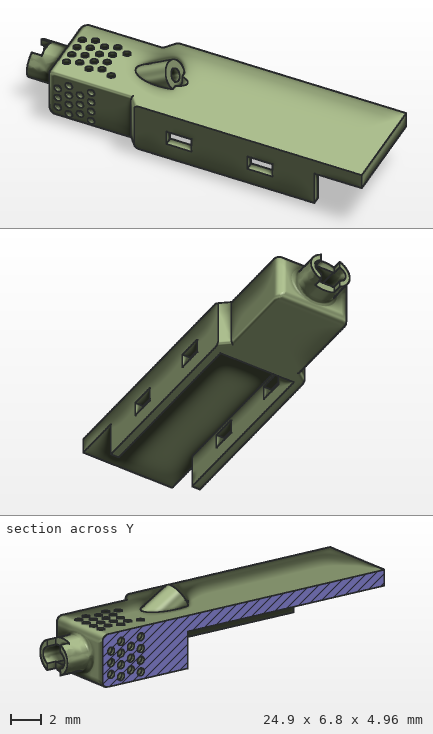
import cadquery as cq
import math

TOTAL_LENGTH = 24.9
BODY_WIDTH = 6.8
BODY_HEIGHT = 3.64
HEAD_WIDTH = 5.45
HEAD_FRONT_X = 1.98
SHOULDER_LENGTH = 0.55
LEFT_SHOULDER_X = 7.78
RIGHT_SHOULDER_X = 8.05
FRONT_RADIUS = 0.6
EDGE_RADIUS = 0.28

TOP_PLATE_THICKNESS = 1.12
SIDE_WALL = 0.6
POCKET_START_X = 9.0
REAR_WALLS_END_X = 21.5
WINDOW_LENGTH = 1.8
WINDOW_HEIGHT = 1.05
WINDOW_SILL_Z = 1.17
WINDOW_START_XS = (10.9, 16.7)

NOSE_Z = 1.87
NOSE_HALF_WIDTH = 1.485
NOSE_HALF_HEIGHT = 1.185
NOSE_FILLET = 0.25
NOTCH_WIDTH = 1.42
NOTCH_DEPTH = 0.7
PASSAGE_HALF_WIDTH = 1.17
PASSAGE_HALF_HEIGHT = 0.73
PASSAGE_FLAT_HEIGHT = 1.21

DIMPLE_DIAMETER = 0.5
DIMPLE_DEPTH = 0.5
DIMPLE_PITCH = 0.8
DIMPLE_STAGGER = 0.3
DIMPLE_FIRST_X = 2.8
TOP_DIMPLE_Y = -1.36
SIDE_DIMPLE_Z = 0.52

TUBE_ANGLE = 30
TUBE_DIAMETER = 2.06
TUBE_BORE_DIAMETER = 0.9
TUBE_LENGTH = 4.0
TUBE_TIP_X = 9.44
TUBE_TIP_Z = 4.96
RELIEF_DIAMETER = 1.1
RELIEF_DROP = 0.25
RELIEF_LENGTH = 2.0


def box(x_start, x_end, width, z_start, z_end):
    """Box centred on Y = 0."""
    return cq.Workplane("XY").box(
        x_end - x_start, width, z_end - z_start, centered=(False, True, False)
    ).translate((x_start, 0, z_start))


def make_body():
    half_head = HEAD_WIDTH / 2
    half_body = BODY_WIDTH / 2
    outline = [
        (HEAD_FRONT_X, -half_head),
        (RIGHT_SHOULDER_X, -half_head),
        (RIGHT_SHOULDER_X + SHOULDER_LENGTH, -half_body),
        (TOTAL_LENGTH, -half_body),
        (TOTAL_LENGTH, half_body),
        (LEFT_SHOULDER_X + SHOULDER_LENGTH, half_body),
        (LEFT_SHOULDER_X, half_head),
        (HEAD_FRONT_X, half_head),
    ]
    body = cq.Workplane("XY").polyline(outline).close().extrude(BODY_HEIGHT)
    body = body.faces("<X").edges().fillet(FRONT_RADIUS)
    selection_margin = 0.05
    head_zone = cq.selectors.BoxSelector(
        (HEAD_FRONT_X + FRONT_RADIUS + selection_margin, -half_body, -selection_margin),
        (RIGHT_SHOULDER_X + SHOULDER_LENGTH, half_body, BODY_HEIGHT + selection_margin),
    )
    return body.edges("#Z").edges(head_zone).fillet(EDGE_RADIUS)


def nose_ellipse(x, half_width, half_height):
    """Workplane at the given X, facing -X, holding an ellipse on the nose axis."""
    plane = cq.Plane(origin=(x, 0, NOSE_Z), xDir=(0, -1, 0), normal=(-1, 0, 0))
    return cq.Workplane(plane).ellipse(half_width, half_height)


def add_nose(body):
    root_x = HEAD_FRONT_X + FRONT_RADIUS
    nose = nose_ellipse(root_x, NOSE_HALF_WIDTH, NOSE_HALF_HEIGHT).extrude(root_x)
    notch = box(0, NOTCH_DEPTH, NOTCH_WIDTH, 0, BODY_HEIGHT)
    joined = body.union(nose)
    joint_reach = 0.05
    joint_zone = cq.selectors.BoxSelector(
        (HEAD_FRONT_X - joint_reach, -NOSE_HALF_WIDTH - joint_reach, NOSE_Z - NOSE_HALF_HEIGHT - joint_reach),
        (HEAD_FRONT_X + joint_reach, NOSE_HALF_WIDTH + joint_reach, NOSE_Z + NOSE_HALF_HEIGHT + joint_reach),
        boundingbox=True,
    )
    return joined.edges(joint_zone).fillet(NOSE_FILLET).cut(notch)


def make_passage():
    passage = nose_ellipse(POCKET_START_X, PASSAGE_HALF_WIDTH, PASSAGE_HALF_HEIGHT).extrude(POCKET_START_X)
    half_flat = PASSAGE_FLAT_HEIGHT / 2
    flats = box(0, POCKET_START_X, BODY_WIDTH, NOSE_Z - half_flat, NOSE_Z + half_flat)
    return passage.intersect(flats)


def make_rear_hollow():
    ceiling_z = BODY_HEIGHT - TOP_PLATE_THICKNESS
    pocket = box(POCKET_START_X, TOTAL_LENGTH, BODY_WIDTH - 2 * SIDE_WALL, 0, ceiling_z)
    overhang = box(REAR_WALLS_END_X, TOTAL_LENGTH, BODY_WIDTH, 0, ceiling_z)
    hollow = pocket.union(overhang)
    for start_x in WINDOW_START_XS:
        window = box(
            start_x, start_x + WINDOW_LENGTH, BODY_WIDTH,
            WINDOW_SILL_Z, WINDOW_SILL_Z + WINDOW_HEIGHT,
        )
        hollow = hollow.union(window)
    return hollow


def dimple_x(column):
    return DIMPLE_FIRST_X + column * DIMPLE_PITCH


def make_top_dimples():
    points = []
    for column in range(4):
        stagger = (column % 2) * DIMPLE_STAGGER
        for row in range(4):
            points.append((dimple_x(column), TOP_DIMPLE_Y + stagger + row * DIMPLE_PITCH))
    for row in (0, 3):
        points.append((dimple_x(4), TOP_DIMPLE_Y + row * DIMPLE_PITCH))
    return (
        cq.Workplane("XY", origin=(0, 0, BODY_HEIGHT))
        .pushPoints(points).circle(DIMPLE_DIAMETER / 2).extrude(-DIMPLE_DEPTH)
    )


def make_side_dimples():
    points = []
    for column in range(4):
        count, stagger = (4, 0) if column % 2 else (3, DIMPLE_STAGGER)
        for row in range(count):
            points.append((dimple_x(column), SIDE_DIMPLE_Z + stagger + row * DIMPLE_PITCH))
    return (
        cq.Workplane("XZ", origin=(0, -HEAD_WIDTH / 2, 0))
        .pushPoints(points).circle(DIMPLE_DIAMETER / 2).extrude(-DIMPLE_DEPTH)
    )


def tube_cylinder(diameter, start, length, drop=0):
    """Cylinder along the tube axis; start is measured outward from the tube's end face."""
    angle = math.radians(TUBE_ANGLE)
    depth = TUBE_DIAMETER / 2 + drop
    origin = (
        TUBE_TIP_X + depth * math.sin(angle) + start * math.cos(angle),
        0,
        TUBE_TIP_Z - depth * math.cos(angle) + start * math.sin(angle),
    )
    axis = (math.cos(angle), 0, math.sin(angle))
    plane = cq.Plane(origin=origin, xDir=(0, 1, 0), normal=axis)
    return cq.Workplane(plane).circle(diameter / 2).extrude(length)


tube = tube_cylinder(TUBE_DIAMETER, -TUBE_LENGTH, TUBE_LENGTH)
tube_bore = tube_cylinder(TUBE_BORE_DIAMETER, -TUBE_LENGTH, TUBE_LENGTH)
tube_relief = tube_cylinder(RELIEF_DIAMETER, 0, RELIEF_LENGTH, RELIEF_DROP)

result = add_nose(make_body()).union(tube)
cutters = (
    make_rear_hollow(),
    make_passage(),
    tube_bore,
    tube_relief,
    make_top_dimples(),
    make_side_dimples(),
)
for cutter in cutters:
    result = result.cut(cutter)